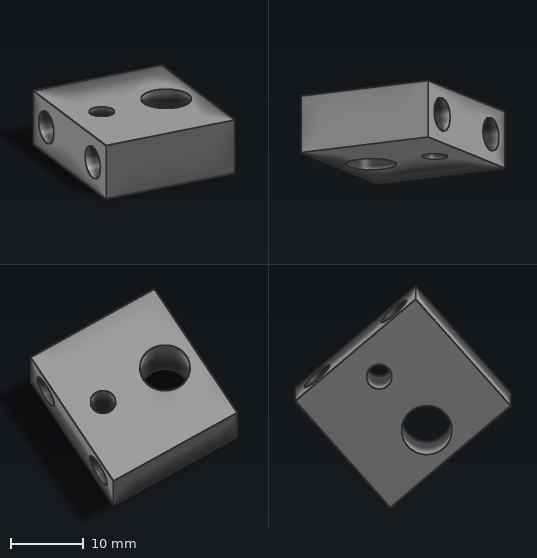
import cadquery as cq

length = 22.0
width = 20.0
height = 8.0

side_hole_diameter = 4.6
side_hole_spacing = 14.0

large_hole_diameter = 6.9
small_hole_diameter = 3.45
vertical_hole_offset = width / 4


def drill_side_holes(body):
    """Drill the two holes at mid-height, symmetric about the YZ plane."""
    half_spacing = side_hole_spacing / 2
    return (
        body.faces("<Y")
        .workplane(origin=(0, 0, 0))
        .pushPoints([(-half_spacing, 0), (half_spacing, 0)])
        .hole(side_hole_diameter)
    )


def drill_vertical_hole(body, y, diameter):
    """Drill one hole from the top face, on the YZ plane."""
    return body.faces(">Z").workplane(origin=(0, 0, 0)).center(0, y).hole(diameter)


result = cq.Workplane("XY").box(length, width, height)
result = drill_side_holes(result)
result = drill_vertical_hole(result, vertical_hole_offset, large_hole_diameter)
result = drill_vertical_hole(result, -vertical_hole_offset, small_hole_diameter)